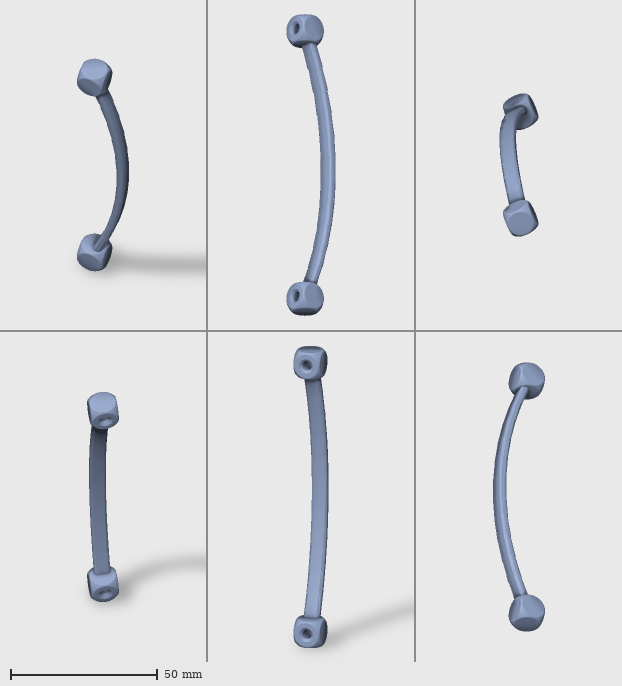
import cadquery as cq
import math

total_height = 105.5
total_depth = 16.8

head_size = 9.5
head_sphere_radius = 6.4
head_edge_fillet = 0.5
head_x = head_size / 2
head_z = (total_height - head_size) / 2

hole_diameter = 3.4
hole_depth = 6.3
drill_point_angle = 118.0
countersink_diameter = 5.1
countersink_angle = 90.0

grip_width = 5.6
grip_thickness = 2.8
grip_fillet = 0.8
grip_outer_x_at_head = 8.0

half_chord = total_height / 2 - head_size
rise = total_depth - grip_outer_x_at_head
outer_radius = (half_chord**2 + rise**2) / (2 * rise)
inner_radius = outer_radius - grip_thickness
arc_center_x = total_depth - outer_radius


def make_head():
    """Head centred at the origin."""
    cube = cq.Workplane("XY").box(head_size, head_size, head_size)
    rounded = cube.intersect(cq.Workplane("XY").sphere(head_sphere_radius))
    return rounded.edges("%CIRCLE").fillet(head_edge_fillet)


def make_hole_cutter():
    """Countersunk hole with a conical bottom, entering along +X from the origin."""
    hole_radius = hole_diameter / 2
    mouth_radius = countersink_diameter / 2
    countersink_depth = (mouth_radius - hole_radius) / math.tan(math.radians(countersink_angle / 2))
    point_depth = hole_radius / math.tan(math.radians(drill_point_angle / 2))
    profile = (
        cq.Workplane("XY")
        .lineTo(0, mouth_radius)
        .lineTo(countersink_depth, hole_radius)
        .lineTo(hole_depth, hole_radius)
        .lineTo(hole_depth + point_depth, 0)
        .close()
    )
    return profile.revolve(360, (0, 0, 0), (1, 0, 0))


def make_grip():
    """Bowed grip whose ends are buried inside the heads."""
    end_angle = math.degrees(math.asin(head_z / outer_radius))
    section = (
        cq.Workplane("XY")
        .center((inner_radius + outer_radius) / 2, 0)
        .rect(grip_thickness, grip_width)
        .extrude(1.1)
    )
    section_wire = section.edges("|Z").fillet(grip_fillet).faces("<Z").wires().val()
    ring_sector = cq.Solid.revolve(
        section_wire, [], 2 * end_angle, cq.Vector(0, 0, 0), cq.Vector(0, 1, 0)
    )
    centred = cq.Workplane(obj=ring_sector).rotate((0, 0, 0), (0, 1, 0), -end_angle)
    return centred.translate((arc_center_x, 0, 0))


result = make_grip()
for z in (-head_z, head_z):
    result = result.union(make_head().translate((head_x, 0, z)))
for z in (-head_z, head_z):
    result = result.cut(make_hole_cutter().translate((0, 0, z)))